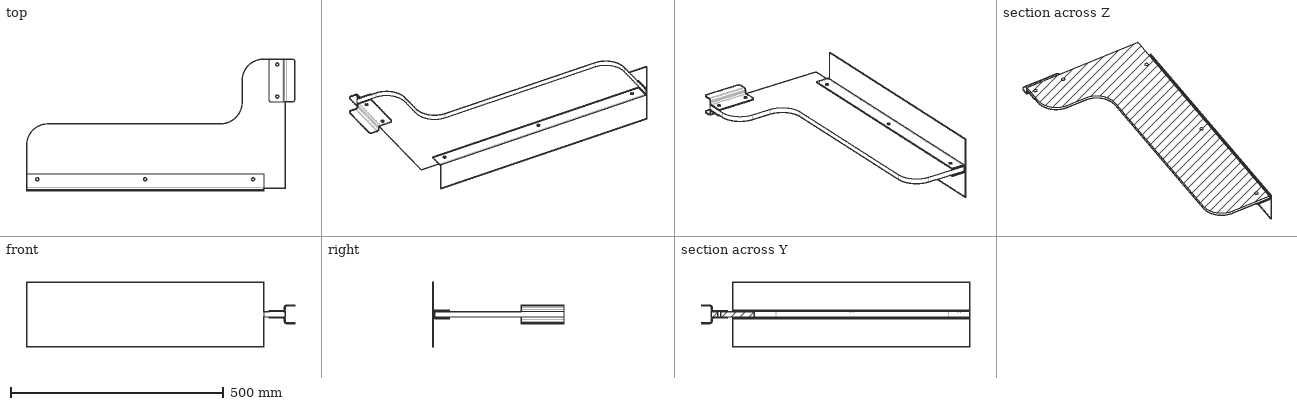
import cadquery as cq

board_length = 609.5
board_depth = 305.0
board_thickness = 12.5
arm_depth = board_depth / 2
leg_width = 102.0
board_corner_radius = 50.5
board_top = board_thickness / 2

screw_diameter = 7.0

sheet_thickness = 2.5
bend_inner_radius = 3.0
bend_outer_radius = bend_inner_radius + sheet_thickness

channel_length = 559.0
channel_side_gap = 2.0
channel_front_gap = 0.5
channel_lap = 34.0
channel_inner_height = board_thickness + 2 * channel_side_gap
channel_outer_height = channel_inner_height + 2 * sheet_thickness
channel_front = -channel_front_gap - sheet_thickness
channel_hole_inset = 25.0
channel_hole_y = channel_lap - 12.5

plate_height = 152.5

bracket_length = 101.0
bracket_left = 571.5
bracket_right = 632.5
bracket_web_left = board_length - sheet_thickness
bracket_top = 22.0
bracket_lap_corner_radius = 4.0
bracket_tip_corner_radius = 6.5
bracket_hole_x = 590.5
bracket_hole_inset = 12.5

leg_left = board_length - leg_width
bracket_front = board_depth - bracket_length

channel_hole_points = [
    (x, channel_hole_y)
    for x in (channel_hole_inset, channel_length / 2, channel_length - channel_hole_inset)
]
bracket_hole_points = [
    (bracket_hole_x, y)
    for y in (bracket_front + bracket_hole_inset, board_depth - bracket_hole_inset)
]


def drill(body, points):
    """Cut vertical screw holes right through a body."""
    drills = (
        cq.Workplane("XY")
        .pushPoints(points)
        .circle(screw_diameter / 2)
        .extrude(plate_height / 2, both=True)
    )
    return body.cut(drills)


def make_board():
    outline = [
        (0, 0),
        (board_length, 0),
        (board_length, board_depth),
        (leg_left, board_depth),
        (leg_left, arm_depth),
        (0, arm_depth),
    ]
    board = (
        cq.Workplane("XY", origin=(0, 0, -board_top))
        .polyline(outline)
        .close()
        .extrude(board_thickness)
    )
    for corner in outline[3:]:
        board = board.edges(cq.NearestToPointSelector((*corner, 0))).fillet(board_corner_radius)
    return drill(board, channel_hole_points + bracket_hole_points)


def channel_block(front, height, front_radius):
    """Full-length bar from `front` back to the channel lap, rounded along its front edges."""
    return (
        cq.Workplane("XY")
        .box(channel_length, channel_lap - front, height, centered=(False, False, True))
        .translate((0, front, 0))
        .edges("|X and <Y")
        .fillet(front_radius)
    )


def make_channel():
    outside = channel_block(channel_front, channel_outer_height, bend_outer_radius)
    inside = channel_block(-channel_front_gap, channel_inner_height, bend_inner_radius)
    return drill(outside.cut(inside), channel_hole_points)


def make_plate():
    return (
        cq.Workplane("XY")
        .box(channel_length, sheet_thickness, plate_height, centered=(False, False, True))
        .translate((0, channel_front - sheet_thickness, 0))
    )


def make_bracket(side):
    """Build the upper bracket, or its mirror image for the lower side."""
    web_right = board_length
    lap_top = board_top + sheet_thickness
    tip_bottom = bracket_top - sheet_thickness
    profile = [
        (bracket_left, board_top),
        (web_right, board_top),
        (web_right, tip_bottom),
        (bracket_right, tip_bottom),
        (bracket_right, bracket_top),
        (bracket_web_left, bracket_top),
        (bracket_web_left, lap_top),
        (bracket_left, lap_top),
    ]
    bracket = (
        cq.Workplane("XZ", origin=(0, board_depth, 0))
        .polyline(profile)
        .close()
        .extrude(bracket_length)
    )
    bends = [
        (web_right, board_top, bend_outer_radius),
        (web_right, tip_bottom, bend_inner_radius),
        (bracket_web_left, bracket_top, bend_outer_radius),
        (bracket_web_left, lap_top, bend_inner_radius),
    ]
    bend_middle_y = board_depth - bracket_length / 2
    for x, z, radius in bends:
        bend_edge = cq.NearestToPointSelector((x, bend_middle_y, z))
        bracket = bracket.edges(bend_edge).fillet(radius)
    bracket = bracket.faces("<X").edges("|Z").fillet(bracket_lap_corner_radius)
    bracket = bracket.faces(">X").edges("|Z").fillet(bracket_tip_corner_radius)
    bracket = drill(bracket, bracket_hole_points)
    if side == "lower":
        bracket = bracket.mirror("XY")
    return bracket


board = make_board()
channel = make_channel()
plate = make_plate()
brackets = [make_bracket(side) for side in ("upper", "lower")]

result = cq.Compound.makeCompound(
    [board.val(), channel.val(), plate.val(), *[bracket.val() for bracket in brackets]]
)